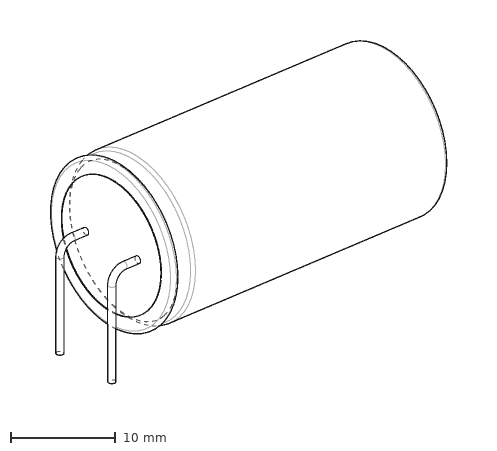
import cadquery as cq
import math

can_diameter = 18.0
can_length = 35.0
edge_radius = 0.4

groove_depth = 0.75
groove_radius = 0.9
lip_radius = 0.45

seal_diameter = 14.4
seal_recess = 0.1

lead_diameter = 0.8
lead_pitch = 7.5
lead_straight = 1.6
lead_bend_radius = 2 * lead_diameter
lead_drop = 12.1
lead_root_depth = 0.4

can_radius = can_diameter / 2


def make_can():
    """Revolve the can's half section about the Y axis."""
    flat_radius = can_radius - edge_radius
    corner = edge_radius * (1 - math.sqrt(0.5))

    lip_center_radius = can_radius - lip_radius
    groove_bottom_radius = can_radius - groove_depth
    groove_center_radius = groove_bottom_radius + groove_radius
    center_distance = groove_radius + lip_radius
    lip_turn = math.acos((groove_center_radius - lip_center_radius) / center_distance)
    groove_center_y = edge_radius + center_distance * math.sin(lip_turn)

    mouth_radius = lip_center_radius + lip_radius * math.cos(lip_turn)
    mouth_half_width = groove_radius * math.sin(lip_turn)
    lip_mid_radius = lip_center_radius + lip_radius * math.cos(lip_turn / 2)
    lip_mid_rise = lip_radius * math.sin(lip_turn / 2)
    wall_start = 2 * groove_center_y - edge_radius

    section = (
        cq.Workplane("XY")
        .lineTo(flat_radius, 0)
        .threePointArc((can_radius - corner, corner), (can_radius, edge_radius))
        .threePointArc(
            (lip_mid_radius, edge_radius + lip_mid_rise),
            (mouth_radius, groove_center_y - mouth_half_width),
        )
        .threePointArc(
            (groove_bottom_radius, groove_center_y),
            (mouth_radius, groove_center_y + mouth_half_width),
        )
        .threePointArc((lip_mid_radius, wall_start - lip_mid_rise), (can_radius, wall_start))
        .lineTo(can_radius, can_length - edge_radius)
        .threePointArc((can_radius - corner, can_length - corner), (flat_radius, can_length))
        .lineTo(0, can_length)
        .close()
    )
    return section.revolve(360, (0, 0, 0), (0, 1, 0))


def make_seal_recess():
    """Shallow round pocket that leaves the rim standing around the seal."""
    return cq.Workplane("XZ").circle(seal_diameter / 2).extrude(-seal_recess)


def make_lead(x):
    """Round wire leaving the seal along -Y and bending down to -Z."""
    bend_start = -lead_straight
    drop_y = bend_start - lead_bend_radius
    bend_mid_y = bend_start - lead_bend_radius * math.sin(math.pi / 4)
    bend_mid_z = -lead_bend_radius * (1 - math.cos(math.pi / 4))
    path = (
        cq.Workplane("YZ", origin=(x, 0, 0))
        .moveTo(lead_root_depth, 0)
        .lineTo(bend_start, 0)
        .threePointArc((bend_mid_y, bend_mid_z), (drop_y, -lead_bend_radius))
        .lineTo(drop_y, -lead_drop)
    )
    wire_end = cq.Workplane("XZ", origin=(x, lead_root_depth, 0)).circle(lead_diameter / 2)
    return wire_end.sweep(path)


result = make_can().cut(make_seal_recess())
for side in (-1, 1):
    result = result.union(make_lead(side * lead_pitch / 2))